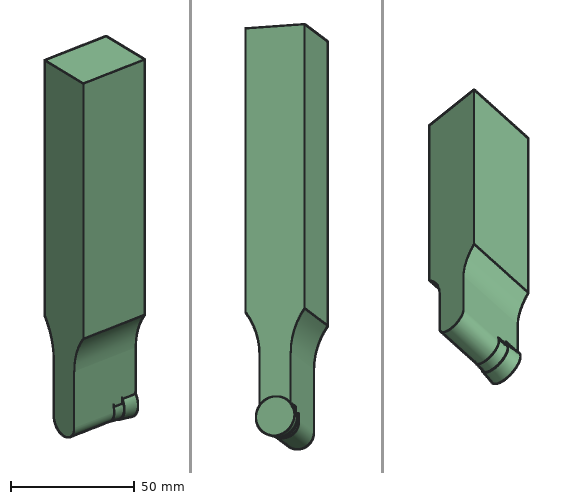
import cadquery as cq
import math

shank_width = 25.0
shank_depth = 32.0
total_height = 170.5
neck_width = 13.3
shoulder_radius = 30.0
neck_top = 34.3

head_radius = 8.2
head_thickness = 6.5
relief_angle = 7.0
stem_end_diameter = 13.5
stem_angle = 4.0

head_seat_depth = 7.0
stem_seat_radius = 7.2
seat_depth = 11.3

nose_z = head_radius
back_radius = head_radius - head_thickness * math.tan(math.radians(relief_angle))


def cylinder_from_face(radius, depth):
    """Cylinder on the insert axis, running from the +Y face inward."""
    return (
        cq.Workplane("XZ", origin=(0, shank_depth, nose_z))
        .circle(radius)
        .extrude(depth)
    )


def make_shank():
    half_width = shank_width / 2
    half_neck = neck_width / 2
    shoulder_center_x = half_neck + shoulder_radius
    run_out_x = shoulder_center_x - half_width
    shoulder_top = neck_top + math.sqrt(shoulder_radius**2 - run_out_x**2)
    mid_angle = math.acos(run_out_x / shoulder_radius) / 2
    mid_x = shoulder_center_x - shoulder_radius * math.cos(mid_angle)
    mid_z = neck_top + shoulder_radius * math.sin(mid_angle)

    blank = (
        cq.Workplane("XZ")
        .moveTo(-half_width, total_height)
        .lineTo(-half_width, shoulder_top)
        .threePointArc((-mid_x, mid_z), (-half_neck, neck_top))
        .lineTo(-half_neck, nose_z)
        .threePointArc((0, nose_z - half_neck), (half_neck, nose_z))
        .lineTo(half_neck, neck_top)
        .threePointArc((mid_x, mid_z), (half_width, shoulder_top))
        .lineTo(half_width, total_height)
        .close()
        .extrude(-shank_depth)
    )
    head_seat = cylinder_from_face(head_radius, head_seat_depth)
    stem_seat = cylinder_from_face(stem_seat_radius, seat_depth)
    return blank.cut(head_seat).cut(stem_seat)


def make_insert():
    stem_end_radius = stem_end_diameter / 2
    stem_length = seat_depth - head_thickness
    stem_root_radius = stem_end_radius + stem_length * math.tan(math.radians(stem_angle))
    back_y = shank_depth - head_thickness
    end_y = shank_depth - seat_depth
    return (
        cq.Workplane("XY", origin=(0, 0, nose_z))
        .moveTo(0, shank_depth)
        .lineTo(head_radius, shank_depth)
        .lineTo(back_radius, back_y)
        .lineTo(stem_root_radius, back_y)
        .lineTo(stem_end_radius, end_y)
        .lineTo(0, end_y)
        .close()
        .revolve(360, (0, 0, 0), (0, 1, 0))
    )


shank = make_shank()
insert = make_insert()

result = cq.Compound.makeCompound([shank.val(), insert.val()])